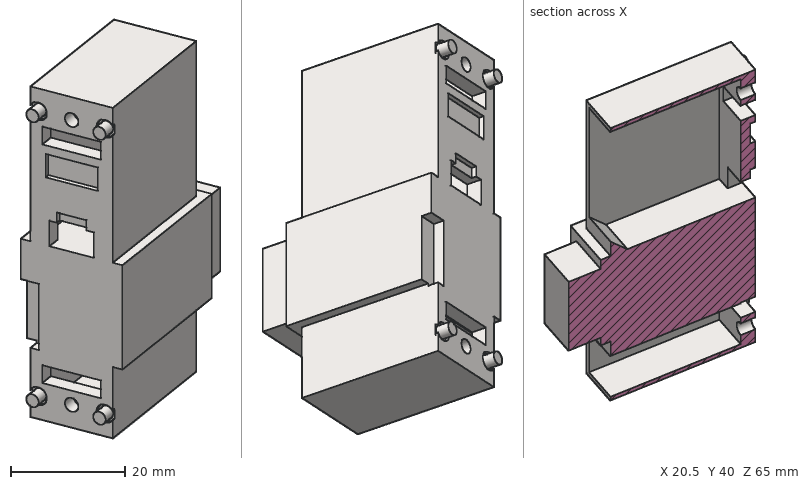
import cadquery as cq

body_width = 16.6
body_depth = 29.5
body_height = 65.0

collar_size = 20.5
collar_depth = 31.5
collar_z = -8.2

nose_size = 16.5
nose_length = 6.5
nose_z = -8.35

foot_x = 6.75
fixing_z = 28.0
foot_diameter = 2.5
foot_length = 2.0
foot_recess_diameter = 3.5
foot_recess_depth = 0.65
screw_hole_diameter = 2.7

slot_width = 11.8
slot_height = 3.5
slot_z = 23.45

front_wall = 3.0
outer_wall = 1.0
lower_ceiling_z = -21.9
ramp_rise = 3.45

label_width = 10.5
label_height = 4.6
label_z = 17.7
label_depth = 1.0

collar_top = collar_z + collar_size / 2
window_width = 8.9
window_height = 5.0
window_top = collar_top + window_height
notch_width = 6.0
notch_height = 2.0
notch_depth = 1.0

side_pocket_inner_x = -6.6
side_pocket_top = -5.9
side_pocket_height = 13.0
side_pocket_depth = 2.15


def block(x_min, x_max, y_min, y_max, z_min, z_max):
    """Axis-aligned box given by its limits."""
    return cq.Workplane("XY").box(
        x_max - x_min, y_max - y_min, z_max - z_min, centered=False
    ).translate((x_min, y_min, z_min))


def centered_block(width, height, z, y_min, y_max):
    """Box centred on X = 0 and on height z."""
    return block(-width / 2, width / 2, y_min, y_max, z - height / 2, z + height / 2)


def cylinder(diameter, x, z, y_min, y_max):
    """Round bar along Y."""
    start = cq.Vector(x, y_min, z)
    axis = cq.Vector(0, 1, 0)
    return cq.Workplane(cq.Solid.makeCylinder(diameter / 2, y_max - y_min, start, axis))


def housing():
    """Tall body, square collar and rear nose."""
    body = centered_block(body_width, body_height, 0, 0, body_depth)
    collar = centered_block(collar_size, collar_size, collar_z, 0, collar_depth)
    nose = centered_block(nose_size, nose_size, nose_z, 0, collar_depth + nose_length)
    return body.union(collar).union(nose)


def compartment(z_min, z_max):
    """Cavity behind the front wall, open at the back of the body."""
    half_width = body_width / 2 - outer_wall
    return block(-half_width, half_width, front_wall, body_depth, z_min, z_max)


def ramp():
    """45 degree ramp that ends at the back of the upper compartment."""
    profile = [
        (body_depth - ramp_rise, collar_top),
        (body_depth, collar_top),
        (body_depth, collar_top + ramp_rise),
    ]
    return cq.Workplane("YZ").polyline(profile).close().extrude(body_width / 2 - outer_wall, both=True)


def window():
    """Opening in the front wall above the collar, with a shallow notch over it."""
    opening = block(-window_width / 2, window_width / 2, 0, front_wall, collar_top, window_top)
    notch = centered_block(notch_width, notch_height, window_top + notch_height / 2, 0, notch_depth)
    return opening.union(notch)


def side_pocket():
    """Shallow pocket open to the front and to the -X side, reaching just below the collar."""
    return block(
        -collar_size / 2, side_pocket_inner_x,
        0, side_pocket_depth,
        side_pocket_top - side_pocket_height, side_pocket_top,
    )


inner_end_z = body_height / 2 - outer_wall

result = housing()
result = result.cut(compartment(collar_top, inner_end_z))
result = result.cut(compartment(-inner_end_z, lower_ceiling_z))
result = result.union(ramp())
result = result.cut(window())
result = result.cut(side_pocket())
result = result.cut(centered_block(label_width, label_height, label_z, 0, label_depth))

for end in (-1, 1):
    z = end * fixing_z
    result = result.cut(centered_block(slot_width, slot_height, end * slot_z, 0, front_wall))
    result = result.cut(cylinder(screw_hole_diameter, 0, z, 0, front_wall))
    for x in (-foot_x, foot_x):
        result = result.cut(cylinder(foot_recess_diameter, x, z, 0, foot_recess_depth))
        result = result.union(cylinder(foot_diameter, x, z, -foot_length, foot_recess_depth))